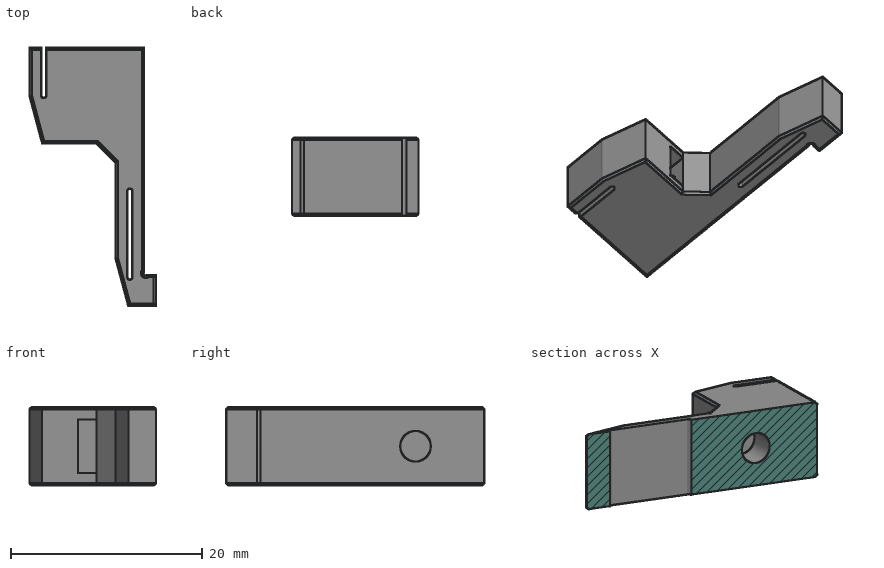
import cadquery as cq
import math

height = 8.2
arm_right = 12.0
toe_right = 13.25
body_top = 27.0
edge_chamfer = 0.25

head_bottom = 17.0
head_taper_start = 22.0
arm_top = 15.0
arm_taper_start = 5.0
toe_top = 3.25

arm_left = 9.0
head_corner = 7.0
taper_angle = 15.0
head_taper = (head_taper_start - head_bottom) * math.tan(math.radians(taper_angle))
arm_taper = arm_taper_start * math.tan(math.radians(taper_angle))

relief_radius = 0.25

slot_width = 0.5
head_slot_x = 1.5
head_slot_end = 22.0
arm_slot_x = 10.5
arm_slot_bottom = 3.0
arm_slot_top = 12.0

pocket_width = 1.9
pocket_size = 5.6
screw_diameter = 3.2
screw_y = head_bottom + pocket_size / 2


def make_body():
    """Prism of the L-shaped outline, chamfered around both flat faces."""
    outline = [
        (0, body_top),
        (0, head_taper_start),
        (head_taper, head_bottom),
        (head_corner, head_bottom),
        (arm_left, arm_top),
        (arm_left, arm_taper_start),
        (arm_left + arm_taper, 0),
        (toe_right, 0),
        (toe_right, toe_top),
        (arm_right, toe_top),
        (arm_right, body_top),
    ]
    prism = cq.Workplane("XY").polyline(outline).close().extrude(height)
    relief_offset = relief_radius / math.sqrt(2)
    relief = (
        cq.Workplane("XY")
        .center(arm_right + relief_offset, toe_top + relief_offset)
        .circle(relief_radius)
        .extrude(height)
    )
    return prism.cut(relief).faces("<Z or >Z").chamfer(edge_chamfer)


def make_slot(x, bottom, top):
    """Full-height slot along Y; bottom and top are the centres of its round ends."""
    return (
        cq.Workplane("XY")
        .center(x, (bottom + top) / 2)
        .slot2D(top - bottom + slot_width, slot_width, 90)
        .extrude(height)
    )


def make_nut_pocket():
    """Square pocket sunk in +Y into the -Y face of the head, against the inside corner."""
    return (
        cq.Workplane("XY")
        .box(pocket_width, pocket_size, pocket_size, centered=(False, False, True))
        .translate((head_corner - pocket_width, head_bottom, height / 2))
    )


def make_screw_hole():
    """Hole along X from the nut pocket out through the right-hand side."""
    return (
        cq.Workplane("YZ", origin=(head_corner - pocket_width, screw_y, height / 2))
        .circle(screw_diameter / 2)
        .extrude(arm_right - head_corner + pocket_width)
    )


result = make_body()
result = result.cut(make_slot(head_slot_x, head_slot_end, body_top + slot_width))
result = result.cut(make_slot(arm_slot_x, arm_slot_bottom, arm_slot_top))
result = result.cut(make_nut_pocket())
result = result.cut(make_screw_hole())